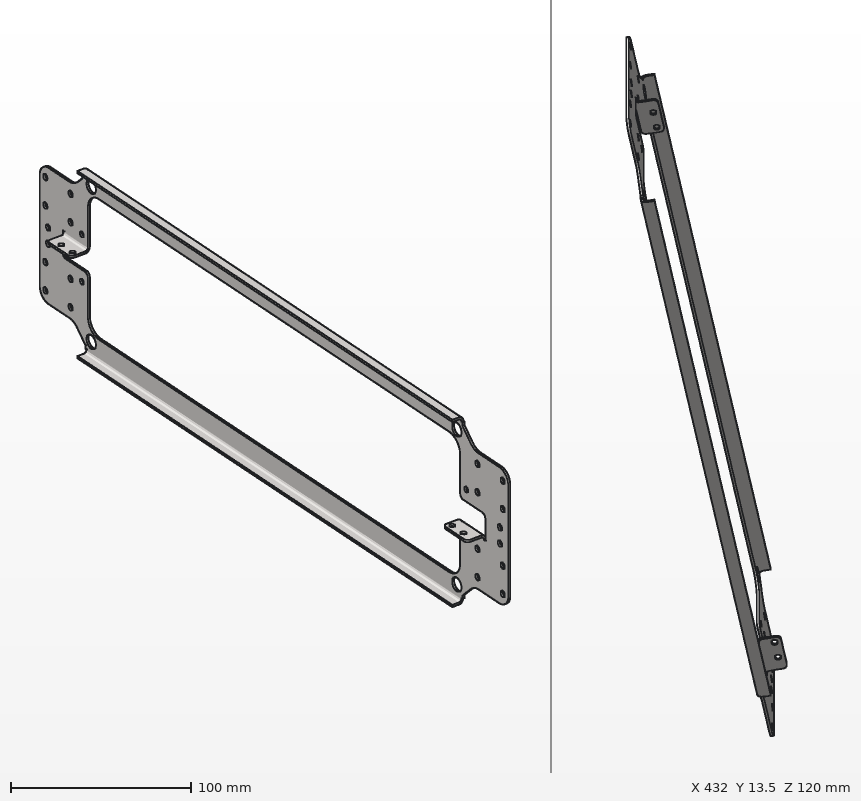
import cadquery as cq


sheet = 1.5
bend_inner = 2.0
bend_outer = bend_inner + sheet

length = 432.0
height = 120.0
flange_reach = 7.8
tab_reach = 13.5

fold_line_z = height / 2 - bend_outer
ear_half_height = 43.5
ear_corner_radius = 8.0
rail_half_length = 173.5
shoulder_x = 184.5
shoulder_rise = shoulder_x - rail_half_length
shoulder_fillet = 10.0
flange_half_length = 173.0

window_half_length = 171.5
window_half_height = 45.0
window_radius = 10.0
slot_end_x = 195.0
slot_plain_z = 7.5
slot_radius = 3.0

tab_outer_z = 6.0
tab_end_x = 193.5
tab_corner_radius = 2.5
tab_hole_diameter = 3.5
tab_hole_xs = (175.0, 185.5)
tab_hole_from_back = 9.5

mount_hole_diameter = 4.0
mount_holes = [(x, z) for x in (187.5, 211.0) for z in (18.0, 36.5)] + [(208.2, 5.0)]
pilot_hole_diameter = 3.5
pilot_holes = [(177.0, 15.0)]
corner_hole_diameter = 8.5
corner_holes = [(168.5, 49.5)]


def sheet_extrusion(sketch):
    """Thicken an XZ sketch from the back face to the front face."""
    return sketch.extrude(sheet)


def half_turn(shape):
    """Copy of a shape turned half a turn about the Y axis."""
    return shape.rotate((0, 0, 0), (0, 1, 0), 180)


def ears_and_rails():
    """Flat blank: two ears with 45 degree shoulders rising to the rails."""
    ears = sheet_extrusion(cq.Workplane("XZ").rect(length, 2 * ear_half_height))
    ears = ears.edges("|Y").fillet(ear_corner_radius)

    quarter = [
        (shoulder_x, ear_half_height),
        (rail_half_length, ear_half_height + shoulder_rise),
        (rail_half_length, fold_line_z),
    ]
    upper = quarter + [(-x, z) for x, z in reversed(quarter)]
    lower = [(-x, -z) for x, z in upper]
    rails = sheet_extrusion(cq.Workplane("XZ").polyline(upper + lower).close())

    blank = ears.union(rails)
    pick_margin = 0.5
    for side_x in (-shoulder_x, shoulder_x):
        for side_z in (-ear_half_height, ear_half_height):
            corner = cq.selectors.BoxSelector(
                (side_x - pick_margin, -sheet, side_z - pick_margin),
                (side_x + pick_margin, 0, side_z + pick_margin),
            )
            blank = blank.edges(corner).fillet(shoulder_fillet)
    return blank


def window():
    """Rounded rectangular opening between the rails."""
    opening = cq.Workplane("XZ").rect(2 * window_half_length, 2 * window_half_height)
    return sheet_extrusion(opening).edges("|Y").fillet(window_radius)


def slot():
    """Slot in the +X ear, rounded along its plain edge and square at the tab."""
    mouth_x = window_half_length
    tab_fold_z = -tab_outer_z - bend_outer
    outline = (
        cq.Workplane("XZ")
        .moveTo(mouth_x - slot_radius, tab_fold_z)
        .lineTo(slot_end_x, tab_fold_z)
        .lineTo(slot_end_x, slot_plain_z - slot_radius)
        .radiusArc((slot_end_x - slot_radius, slot_plain_z), -slot_radius)
        .lineTo(mouth_x + slot_radius, slot_plain_z)
        .radiusArc((mouth_x, slot_plain_z + slot_radius), slot_radius)
        .lineTo(mouth_x - slot_radius, slot_plain_z + slot_radius)
        .close()
    )
    return sheet_extrusion(outline)


def folded_strip(start_x, end_x, outer_z, reach):
    """Bend and straight leg whose outer face is at outer_z, above the sheet it joins."""
    return (
        cq.Workplane("YZ", origin=(start_x, 0, outer_z))
        .moveTo(0, -bend_outer)
        .radiusArc((-bend_outer, 0), -bend_outer)
        .lineTo(-reach, 0)
        .lineTo(-reach, -sheet)
        .lineTo(-bend_outer, -sheet)
        .radiusArc((-sheet, -bend_outer), bend_inner)
        .close()
        .extrude(end_x - start_x)
    )


def tab():
    """Tab at the +X slot, with rounded free corners and two holes."""
    strip = folded_strip(window_half_length, tab_end_x, -tab_outer_z, tab_reach)
    strip = strip.faces("<Y").edges("|Z").fillet(tab_corner_radius)
    drills = (
        cq.Workplane("XY", origin=(0, 0, -tab_outer_z))
        .pushPoints([(x, -tab_hole_from_back) for x in tab_hole_xs])
        .circle(tab_hole_diameter / 2)
        .extrude(-sheet)
    )
    return strip.cut(drills)


def hole_drills(places, diameter):
    """Drills for holes mirrored into all four quarters of the frame."""
    points = [(sx * x, sz * z) for x, z in places for sx in (-1, 1) for sz in (-1, 1)]
    return sheet_extrusion(cq.Workplane("XZ").pushPoints(points).circle(diameter / 2))


frame = ears_and_rails().cut(window())
frame = frame.cut(slot()).cut(half_turn(slot()))
frame = frame.cut(hole_drills(mount_holes, mount_hole_diameter))
frame = frame.cut(hole_drills(pilot_holes, pilot_hole_diameter))
frame = frame.cut(hole_drills(corner_holes, corner_hole_diameter))

flange = folded_strip(-flange_half_length, flange_half_length, height / 2, flange_reach)

result = frame
for fold in (flange, tab()):
    result = result.union(fold).union(half_turn(fold))